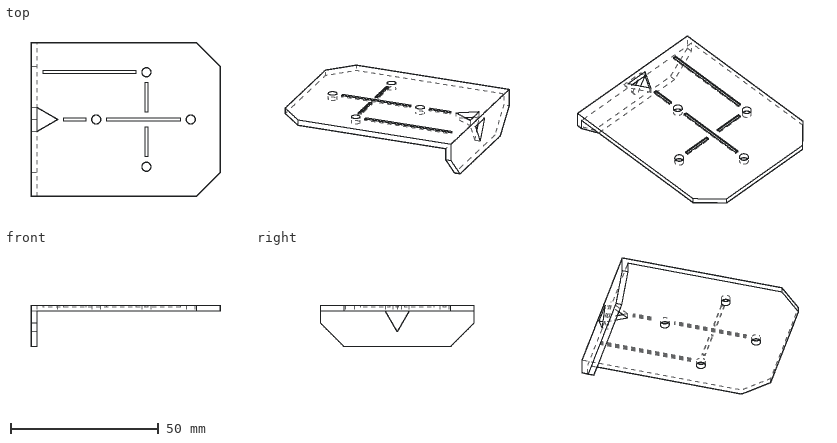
import cadquery as cq

import math

length = 64.0
width = 52.0
height = 14.0
thickness = 2.0
corner_chamfer = 8.0

hole_diameter = 3.0
hole_pitch = 32.0
near_hole_offset = 20.0
side_hole_offset = 37.0
near_hole_x = thickness + near_hole_offset
far_hole_x = near_hole_x + hole_pitch
side_hole_x = thickness + side_hole_offset
side_hole_y = hole_pitch / 2

window_side = 8.0
window_height = window_side * math.sqrt(3) / 2

groove_depth = 0.5
groove_width = 1.0
groove_gap = 2.0
hole_gap = hole_diameter / 2 + groove_gap
near_groove_start = thickness + window_height + groove_gap
near_groove_end = near_hole_x - hole_gap
middle_groove_start = near_hole_x + hole_gap
middle_groove_end = far_hole_x - hole_gap
side_groove_start = thickness + groove_gap
side_groove_end = side_hole_x - hole_gap
cross_groove_start = groove_width / 2 + groove_gap
cross_groove_end = side_hole_y - hole_gap


def make_plate():
    """Top plate with its top face at Z = 0 and its far corners chamfered."""
    plate = cq.Workplane("XY").box(length, width, thickness, centered=(False, True, False))
    plate = plate.translate((0, 0, -thickness))
    return plate.edges("|Z and >X").chamfer(corner_chamfer)


def make_fence():
    """Fence hanging from the X = 0 edge, with its lower corners chamfered."""
    fence = cq.Workplane("XY").box(thickness, width, height, centered=(False, True, False))
    fence = fence.translate((0, 0, -height))
    return fence.edges("|X and <Z").chamfer(corner_chamfer)


def make_plate_window():
    """Triangular cutter through the plate, pointing along +X."""
    half_side = window_side / 2
    tip = (thickness + window_height, 0)
    outline = [(thickness, -half_side), tip, (thickness, half_side)]
    return cq.Workplane("XY").polyline(outline).close().extrude(-thickness)


def make_fence_window():
    """Triangular cutter through the fence, pointing down."""
    half_side = window_side / 2
    tip = (0, -thickness - window_height)
    outline = [(-half_side, -thickness), tip, (half_side, -thickness)]
    return cq.Workplane("YZ").polyline(outline).close().extrude(thickness)


def make_holes():
    """Cutters for the four through holes."""
    centers = [
        (near_hole_x, 0),
        (far_hole_x, 0),
        (side_hole_x, side_hole_y),
        (side_hole_x, -side_hole_y),
    ]
    return cq.Workplane("XY").pushPoints(centers).circle(hole_diameter / 2).extrude(-thickness)


def make_groove_along_x(x_start, x_end, y_center):
    """Groove cutter sunk into the top face and running along X."""
    groove = cq.Workplane("XY").rect(x_end - x_start, groove_width).extrude(-groove_depth)
    return groove.translate(((x_start + x_end) / 2, y_center, 0))


def make_groove_along_y(x_center, y_start, y_end):
    """Groove cutter sunk into the top face and running along Y."""
    groove = cq.Workplane("XY").rect(groove_width, y_end - y_start).extrude(-groove_depth)
    return groove.translate((x_center, (y_start + y_end) / 2, 0))


def make_grooves():
    """All dimension-line grooves: three along X, and two along Y between the side holes."""
    return [
        make_groove_along_x(near_groove_start, near_groove_end, 0),
        make_groove_along_x(middle_groove_start, middle_groove_end, 0),
        make_groove_along_x(side_groove_start, side_groove_end, side_hole_y),
        make_groove_along_y(side_hole_x, cross_groove_start, cross_groove_end),
        make_groove_along_y(side_hole_x, -cross_groove_end, -cross_groove_start),
    ]


result = make_plate().union(make_fence())
result = result.cut(make_plate_window()).cut(make_fence_window()).cut(make_holes())
for groove_cutter in make_grooves():
    result = result.cut(groove_cutter)